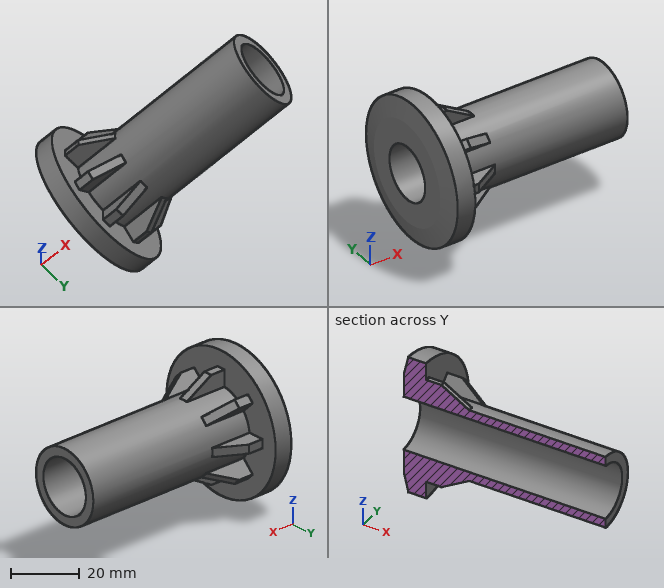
import cadquery as cq

total_length = 69.3
flange_diameter = 47.6
flange_face_diameter = 34.4
flange_thickness = 7.8
flange_bevel_length = 1.6
tube_diameter = 25.0
bore_diameter = 18.5

rib_count = 8
rib_width = 3.0
rib_height_radius = 18.0
rib_flat_end = 13.0
rib_end = 22.5

flange_radius = flange_diameter / 2
flange_face_radius = flange_face_diameter / 2
tube_radius = tube_diameter / 2
bore_radius = bore_diameter / 2


def make_body():
    """Revolve the bevelled flange and tube, including the through bore."""
    half_section = (
        cq.Workplane("XY")
        .moveTo(0, bore_radius)
        .lineTo(0, flange_face_radius)
        .lineTo(flange_bevel_length, flange_radius)
        .lineTo(flange_thickness, flange_radius)
        .lineTo(flange_thickness, tube_radius)
        .lineTo(total_length, tube_radius)
        .lineTo(total_length, bore_radius)
        .close()
    )
    return half_section.revolve(360, (0, 0, 0), (1, 0, 0))


def make_rib():
    """Make one rib on the +Y side, rooted inside the flange and tube wall."""
    rib_start = flange_thickness / 2
    root_radius = (bore_radius + tube_radius) / 2
    return (
        cq.Workplane("XY")
        .moveTo(rib_start, root_radius)
        .lineTo(rib_start, rib_height_radius)
        .lineTo(rib_flat_end, rib_height_radius)
        .lineTo(rib_end, tube_radius)
        .lineTo(rib_end, root_radius)
        .close()
        .extrude(rib_width / 2, both=True)
    )


result = make_body()
rib = make_rib()
for index in range(rib_count):
    angle = index * 360 / rib_count
    result = result.union(rib.rotate((0, 0, 0), (1, 0, 0), angle))